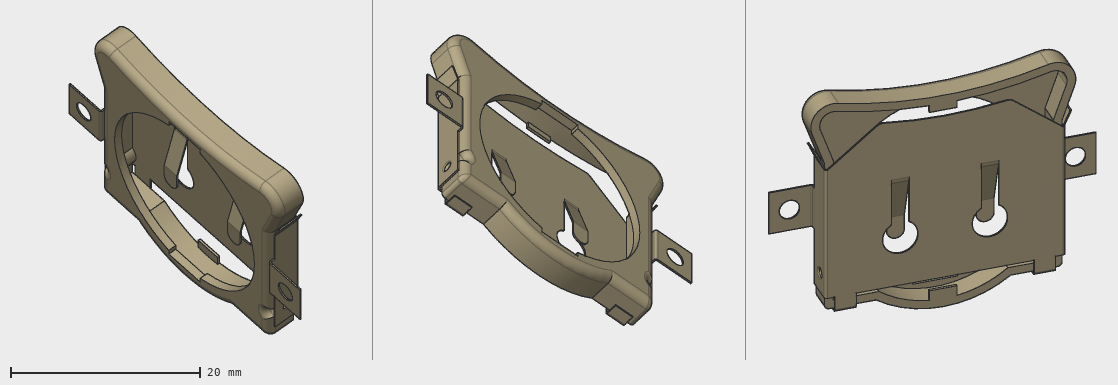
import cadquery as cq
import math


wall = 1.0
housing_depth = 3.6
side_x = 13.35
flare_z = 7.1
corner_radius = 2.5
corner_x = 12.38
corner_z = 11.83
saddle_z = 12.82
floor_z = -10.95
bulge_radius = 13.3
foot_radius = 0.5
window_radius = 11.13
notch_half_width = 2.5
notch_reach = 11.5
lip_half_width = 1.55
lip_inner = 11.02
lip_outer = 12.5
lip_thickness = 0.3

latch_z = -6.95
latch_hole_radius = 0.7
latch_boss_radius = 1.58
bump_y = 2.57
bump_radius = 0.65

sheet = 0.2
clip_back = 4.2
bend_radius = 0.3
plate_bottom = -9.25
arm_top = 6.57
arm_front = 0.8
arm_tip_z = 8.25
arm_tip_shift = 0.77
peak_x = 7.35
plate_saddle_z = 10.6
peak_radius = 1.0
tab_half_height = 2.55
tab_end = 18.35
tab_hole_x = 16.05
tab_hole_radius = 1.15
hook_inner = 10.0
hook_outer = 12.38
hook_front = 2.6
bump_wall = 0.1
bowl_rim_radius = 0.15
finger_x = 5.05
finger_half_width = 1.0
finger_root_z = 3.9
finger_bend_radius = 1.7
finger_angle = math.radians(16)
finger_foot_z = -1.6
finger_hole_z = -3.35
finger_hole_radius = 2.0

saddle_radius = (
    (corner_x**2 + (saddle_z - corner_z) ** 2 - corner_radius**2)
    / (2 * (corner_radius - saddle_z + corner_z))
)
saddle_center_z = saddle_z + saddle_radius
clip_front = clip_back - sheet
arm_outer = side_x + sheet


def face_plane(y):
    """Workplane with local axes X and Z at depth y."""
    return cq.Workplane("XZ", origin=(0, y, 0))


def block(x0, x1, y0, y1, z0, z1):
    return cq.Workplane("XY").box(x1 - x0, y1 - y0, z1 - z0, centered=False).translate((x0, y0, z0))


def both_sides(shape):
    return shape.union(shape.mirror("YZ"))


def polar(center, radius, angle):
    return (center[0] + radius * math.cos(angle), center[1] + radius * math.sin(angle))


def mirrored(point):
    return (-point[0], point[1])


def housing_prism(inset, y0, y1):
    """Housing outline moved inwards by inset, from depth y0 to y1."""
    side = side_x - inset
    floor = floor_z + inset
    bulge = bulge_radius - inset
    bulge_x = math.sqrt(bulge**2 - floor**2)

    run = corner_x - side_x
    rise = corner_z - flare_z
    lean = math.atan2(rise, run) - math.asin(corner_radius / math.hypot(run, rise))
    bend_z = flare_z + inset * math.tan((math.pi / 2 - lean) / 2)

    corner_start = lean - math.pi / 2
    corner_end = math.atan2(saddle_center_z - corner_z, -corner_x)
    corner_center = (corner_x, corner_z)
    radius = corner_radius - inset
    low = polar(corner_center, radius, corner_start)
    middle = polar(corner_center, radius, (corner_start + corner_end) / 2)
    high = polar(corner_center, radius, corner_end)
    return (
        face_plane(y0)
        .moveTo(bulge_x, floor)
        .lineTo(side, floor)
        .lineTo(side, bend_z)
        .lineTo(*low)
        .threePointArc(middle, high)
        .threePointArc((0, saddle_z - inset), mirrored(high))
        .threePointArc(mirrored(middle), mirrored(low))
        .lineTo(-side, bend_z)
        .lineTo(-side, floor)
        .lineTo(-bulge_x, floor)
        .threePointArc((0, -bulge), (bulge_x, floor))
        .close()
        .extrude(y0 - y1)
    )


def outer_block():
    """Solid housing with rounded feet and a rounded front edge."""
    body = housing_prism(0, 0, housing_depth)
    for x in (-side_x, side_x):
        foot = cq.selectors.NearestToPointSelector((x, housing_depth / 2, floor_z))
        body = body.edges("|Y").edges(foot).fillet(foot_radius)
    return body.faces("<Y").edges().fillet(wall)


def latch_cylinder(x, radius, y0, y1):
    return face_plane(y0).center(x, latch_z).circle(radius).extrude(y0 - y1)


def latch_hole(x):
    """Hole through the full depth with a flared round mouth, half open at the side of the housing."""
    round_radius = latch_boss_radius - latch_hole_radius
    reach = round_radius * (1 - math.sqrt(0.5))
    mouth = (
        cq.Workplane("XY")
        .lineTo(latch_boss_radius, 0)
        .threePointArc((latch_hole_radius + reach, reach), (latch_hole_radius, round_radius))
        .lineTo(0, round_radius)
        .close()
        .revolve(360, (0, 0), (0, 1))
        .translate((x, 0, latch_z))
    )
    return latch_cylinder(x, latch_hole_radius, 0, housing_depth).union(mouth)


def make_housing():
    outer = outer_block()
    cavity = housing_prism(wall, wall, housing_depth)
    for x in (-side_x, side_x):
        cavity = cavity.cut(latch_cylinder(x, latch_boss_radius, wall, housing_depth))

    window = face_plane(0).circle(window_radius).extrude(-wall)
    notches = block(-notch_half_width, notch_half_width, 0, wall, -notch_reach, notch_reach)
    body = outer.cut(cavity).cut(window).cut(notches)

    lip_front = housing_depth - lip_thickness
    for z0, z1 in ((lip_inner, lip_outer), (-lip_outer, -lip_inner)):
        body = body.union(block(-lip_half_width, lip_half_width, lip_front, housing_depth, z0, z1))

    for x in (-side_x, side_x):
        body = body.cut(latch_hole(x))
    return body


def bent_strip(plane, start, corner, u_end, v_end, length):
    """Sheet bent at a right angle: outer corner and the two leg ends in the plane, swept by length."""
    cu, cv = corner
    su = math.copysign(1, u_end - cu)
    sv = math.copysign(1, v_end - cv)
    center_u = cu + su * bend_radius
    center_v = cv + sv * bend_radius
    outside = bend_radius * math.sqrt(0.5)
    inside = (bend_radius - sheet) * math.sqrt(0.5)
    return (
        cq.Workplane(plane).workplane(offset=start)
        .moveTo(cu, v_end)
        .lineTo(cu, center_v)
        .threePointArc((center_u - su * outside, center_v - sv * outside), (center_u, cv))
        .lineTo(u_end, cv)
        .lineTo(u_end, cv + sv * sheet)
        .lineTo(center_u, cv + sv * sheet)
        .threePointArc((center_u - su * inside, center_v - sv * inside), (cu + su * sheet, center_v))
        .lineTo(cu + su * sheet, v_end)
        .close()
        .extrude(length)
    )


def back_plate():
    """Flat plate with a hollow top edge between two rounded peaks and sloping shoulders."""
    plate_x = arm_outer - bend_radius
    peak_z = plate_saddle_z + saddle_radius - math.sqrt(saddle_radius**2 - peak_x**2)
    plate = (
        face_plane(clip_front)
        .moveTo(plate_x, plate_bottom)
        .lineTo(plate_x, arm_top)
        .lineTo(peak_x, peak_z)
        .threePointArc((0, plate_saddle_z), (-peak_x, peak_z))
        .lineTo(-plate_x, arm_top)
        .lineTo(-plate_x, plate_bottom)
        .close()
        .extrude(-sheet)
    )
    for x in (-peak_x, peak_x):
        peak = cq.selectors.NearestToPointSelector((x, clip_front, peak_z))
        plate = plate.edges("|Y").edges(peak).fillet(peak_radius)
    return plate


def side_arm():
    """Right arm with its flared tip, solder tab and latch bump."""
    arm = bent_strip(
        "XY", plate_bottom, (arm_outer, clip_back), hook_outer, arm_front,
        arm_top - plate_bottom,
    )
    tip = (
        face_plane(arm_front)
        .moveTo(side_x, arm_top)
        .lineTo(side_x + arm_tip_shift, arm_tip_z)
        .lineTo(arm_outer + arm_tip_shift, arm_tip_z)
        .lineTo(arm_outer, arm_top)
        .close()
        .extrude(arm_front - clip_back + bend_radius)
    )
    tab = bent_strip("XY", -tab_half_height, (side_x, 0), tab_end, arm_front, 2 * tab_half_height)
    tab_hole = face_plane(0).center(tab_hole_x, 0).circle(tab_hole_radius).extrude(-sheet)
    arm = arm.union(tip).union(tab.cut(tab_hole))

    center = (arm_outer, bump_y, latch_z)
    inner_side = block(0, arm_outer, 0, clip_front, latch_z - bump_radius, latch_z + bump_radius)
    bump = cq.Workplane("XY").sphere(bump_radius).translate(center).intersect(inner_side)
    bowl = cq.Workplane("XY").sphere(bump_radius - bump_wall).translate(center)
    arm = arm.union(bump).cut(bowl)
    rim = cq.selectors.NearestToPointSelector((arm_outer, bump_y, latch_z))
    return arm.faces(rim).edges("%CIRCLE").edges(">X").fillet(bowl_rim_radius)


def hook():
    """Right leg of the plate, bent forward under the housing floor."""
    return bent_strip(
        "YZ", hook_inner, (clip_back, floor_z - sheet), hook_front, plate_bottom, hook_outer - hook_inner
    )


def keyhole(x):
    hole = face_plane(clip_front).center(x, finger_hole_z).circle(finger_hole_radius).extrude(-sheet)
    slot = block(
        x - finger_half_width, x + finger_half_width, clip_front, clip_back, finger_hole_z, finger_root_z
    )
    return hole.union(slot)


def spring_finger(x):
    """Contact finger bent forward out of the plate, flat and round at its free end."""
    drop = finger_bend_radius * (1 - math.cos(finger_angle))
    half_drop = finger_bend_radius * (1 - math.cos(finger_angle / 2))
    bend_z = finger_root_z - finger_bend_radius * math.sin(finger_angle)
    half_bend_z = finger_root_z - finger_bend_radius * math.sin(finger_angle / 2)
    bend_y = clip_front - drop
    foot_y = bend_y - (bend_z - finger_foot_z) * math.tan(finger_angle)
    end_z = finger_hole_z - finger_half_width
    strip = (
        cq.Workplane("YZ").workplane(offset=x - finger_half_width)
        .moveTo(clip_front, finger_root_z)
        .threePointArc((clip_front - half_drop, half_bend_z), (bend_y, bend_z))
        .lineTo(foot_y, finger_foot_z)
        .lineTo(foot_y, end_z)
        .lineTo(foot_y + sheet, end_z)
        .lineTo(foot_y + sheet, finger_foot_z)
        .lineTo(bend_y + sheet, bend_z)
        .threePointArc((clip_back - half_drop, half_bend_z), (clip_back, finger_root_z))
        .close()
        .extrude(2 * finger_half_width)
    )
    straight = block(
        x - finger_half_width, x + finger_half_width, 0, clip_back, finger_hole_z, finger_root_z
    )
    round_end = face_plane(0).center(x, finger_hole_z).circle(finger_half_width).extrude(-clip_back)
    return strip.intersect(straight.union(round_end))


def make_clip():
    body = back_plate().union(both_sides(side_arm())).union(both_sides(hook()))
    for x in (-finger_x, finger_x):
        body = body.cut(keyhole(x)).union(spring_finger(x))
    return body


housing = make_housing()
clip = make_clip()
result = cq.Compound.makeCompound([*housing.solids().vals(), *clip.solids().vals()])